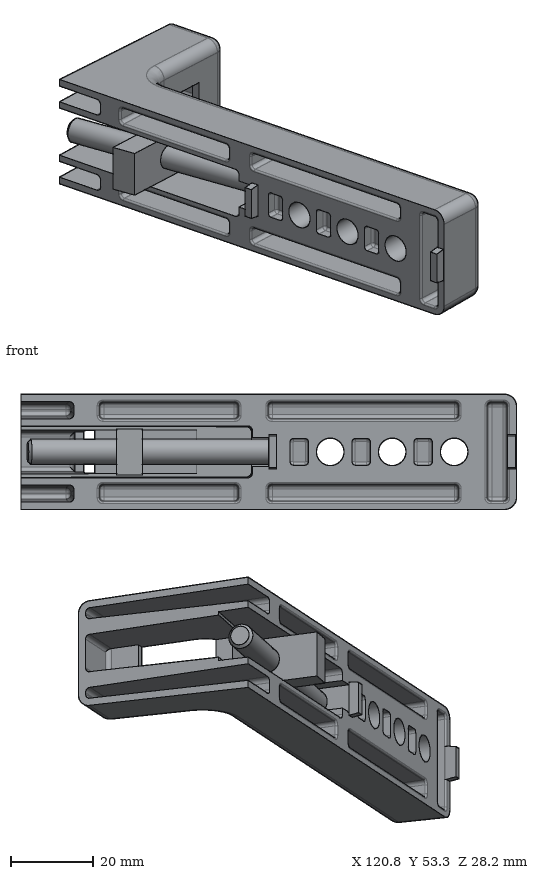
import cadquery as cq
import math

LENGTH = 120.8
WIDTH = 28.2
LEG_LENGTH = 16.0
LEG_HEIGHT = 45.3
ARM_HEIGHT = 15.3
DRAFT = 1
OUTER_FILLET = 3.0
INNER_CORNER_FILLET = 6
POCKET_FILLET = 1.0
MOUTH_FILLET = 0.5
TOP_WALL = 1.9
ARM_POCKET_DEPTH = ARM_HEIGHT - TOP_WALL
LEG_POCKET_DEPTH = LEG_HEIGHT - TOP_WALL

SIDE_SLOT_Z = 10.0
SIDE_SLOT_WIDTH = 5.2
SIDE_SLOT_SPANS = [(18.6, 53.7), (59.7, 107.3)]
END_SLOT_SPAN = (113.1, 119.1)
END_SLOT_WIDTH = 25.3

LEG_GROOVE_END = 12.9
LEG_GROOVE_Z = 10.2
LEG_GROOVE_WIDTH = 4.2
LEG_GROOVE_FILLET = 1.2

HOLE_PITCH = 15.1
HOLE_COUNT = 3
FIRST_HOLE_X = 75.4
HOLE_DIAMETER = 6.6
SMALL_POCKET_LENGTH = 4.5
SMALL_POCKET_WIDTH = 6.5
SMALL_POCKET_DEPTH = 3.1
SMALL_POCKET_CORNER = 0.8
SMALL_POCKET_FILLET = 0.7

CAVITY_END = 13.8
CAVITY_WIDTH = 11.0
CAVITY_FILLET = 1.1
WINDOW_END = 18.2
WINDOW_HEIGHT = 35.2
RECESS_END = 43.5
RECESS_DEPTH = 12.2

SLOPE = 5.8
TROUGH_START_DEPTH = 7.9
TROUGH_END = 56.4
TROUGH_WIDTH = 12.7
TROUGH_CORNER_FILLET = 1.2
BOLT_SLOT_WIDTH = 7.0
BOLT_SLOT_END = 60.3
BOLT_SLOT_DEPTH = 12.0
BOLT_DIAMETER = 6.2
BOLT_CHAMFER = 0.7
BOLT_START_X = 1.7
BOLT_AXIS_AT_ORIGIN = 2.8

JAW_START = 23.3
JAW_END = 29.6
JAW_WIDTH = 11.2
JAW_REACH = 8.0

STOP_THICKNESS = 1.9
STOP_HEIGHT = 2.5
STOP_BASE_WIDTH = 8.5
STOP_TIP_WIDTH = 7.7
SLOT_STOP_START = 60.4
END_STOP_START = 118.7

slope_rise = math.tan(math.radians(SLOPE))


def trough_depth(x):
    """Height of the sloped trough floor at position x."""
    return TROUGH_START_DEPTH + slope_rise * x


def bolt_axis_height(x):
    """Height of the bolt axis at position x."""
    return BOLT_AXIS_AT_ORIGIN + slope_rise * x


def face_plane():
    """Sketch plane on the open face, facing +Y."""
    return cq.Workplane(cq.Plane(origin=(0, 0, 0), xDir=(1, 0, 0), normal=(0, 1, 0)))


def drafted_block(x_start, x_end, width, height, z=0):
    """Block standing on the open face that narrows upwards by the draft angle."""
    middle = (x_start + x_end) / 2
    sketch = face_plane().center(middle, -z).rect(x_end - x_start, width)
    return sketch.extrude(height, taper=DRAFT)


def pocket(x_start, x_end, width, depth, z=0, corner=POCKET_FILLET, floor=POCKET_FILLET):
    """Cutter for a drafted pocket with rounded corners and a rounded floor edge."""
    block = drafted_block(x_start, x_end, width, depth, z)
    return block.edges("not (#Y or <Y)").fillet(corner).faces(">Y").edges().fillet(floor)


def cut_slot(housing, x_start, x_end, width, z=0):
    """Cut a pocket whose mouth, of the given size, is rounded over."""
    rim = MOUTH_FILLET
    cutter = pocket(x_start + rim, x_end - rim, width - 2 * rim, ARM_POCKET_DEPTH, z)
    mouth = cq.selectors.BoxSelector(
        (x_start, -rim, z - width / 2), (x_end, rim, z + width / 2)
    )
    return housing.cut(cutter).edges(mouth).fillet(rim)


def profile_block(points, width):
    """Block of the given XY outline, centred across the width."""
    return cq.Workplane("XY").polyline(points).close().extrude(width / 2, both=True)


def outer_shell():
    """Solid L shape with drafted sides, cut flat at X = 0 and rounded outside."""
    arm = drafted_block(-LENGTH, LENGTH, WIDTH, ARM_HEIGHT)
    leg = drafted_block(-LEG_LENGTH, LEG_LENGTH, WIDTH, LEG_HEIGHT)
    positive_x = cq.Workplane("XY").box(
        2 * LENGTH, 2 * LENGTH, 2 * LENGTH, centered=(False, True, True)
    )
    shell = arm.union(leg).intersect(positive_x)
    inner_corner = cq.selectors.BoxSelector(
        (1.2, ARM_HEIGHT - 1.2, -WIDTH), (LEG_LENGTH + 1.2, ARM_HEIGHT + 1.2, WIDTH)
    )
    shell = shell.edges("|Z").edges(inner_corner).fillet(INNER_CORNER_FILLET)
    return shell.edges("not(<X or <Y)").fillet(OUTER_FILLET)


def leg_groove(z):
    """Cutter for a groove up the leg, open at X = 0."""
    block = drafted_block(-LEG_GROOVE_END, LEG_GROOVE_END, LEG_GROOVE_WIDTH, LEG_POCKET_DEPTH, z)
    return block.edges("not <Y").fillet(LEG_GROOVE_FILLET)


def through_hole(x):
    """Cutter for a round hole through the arm."""
    return face_plane().center(x, 0).circle(HOLE_DIAMETER / 2).extrude(ARM_HEIGHT)


def small_pocket(x):
    """Cutter for a shallow pocket centred at position x."""
    return pocket(
        x - SMALL_POCKET_LENGTH / 2,
        x + SMALL_POCKET_LENGTH / 2,
        SMALL_POCKET_WIDTH,
        SMALL_POCKET_DEPTH,
        corner=SMALL_POCKET_CORNER,
        floor=SMALL_POCKET_FILLET,
    )


def trough():
    """Cutter for the sloped trough, open at X = 0, with rounded corners at its far end."""
    cutter = drafted_block(-TROUGH_END, TROUGH_END, TROUGH_WIDTH, ARM_HEIGHT)
    under_floor = [
        (0, 0),
        (TROUGH_END, 0),
        (TROUGH_END, trough_depth(TROUGH_END)),
        (0, trough_depth(0)),
    ]
    cutter = cutter.intersect(profile_block(under_floor, WIDTH))
    return cutter.faces(">X").edges("not #Y").fillet(TROUGH_CORNER_FILLET)


def central_cutters():
    """Cutters for the leg cavity, window, arm recess, trough and bolt slot."""
    cavity = drafted_block(-CAVITY_END, CAVITY_END, CAVITY_WIDTH, LEG_POCKET_DEPTH)
    cavity = cavity.faces(">Y").edges().fillet(CAVITY_FILLET)
    window = drafted_block(-WINDOW_END, WINDOW_END, CAVITY_WIDTH, WINDOW_HEIGHT)
    recess = drafted_block(-RECESS_END, RECESS_END, CAVITY_WIDTH, RECESS_DEPTH)
    bolt_slot = face_plane().rect(2 * BOLT_SLOT_END, BOLT_SLOT_WIDTH).extrude(BOLT_SLOT_DEPTH)
    return [cavity, window, recess, trough(), bolt_slot]


def stop_block(x_start):
    """Raised block on the open face, narrowing towards its tip."""
    outline = [
        (-STOP_BASE_WIDTH / 2, 0),
        (-STOP_TIP_WIDTH / 2, -STOP_HEIGHT),
        (STOP_TIP_WIDTH / 2, -STOP_HEIGHT),
        (STOP_BASE_WIDTH / 2, 0),
    ]
    plane = cq.Plane(origin=(x_start, 0, 0), xDir=(0, 0, -1), normal=(1, 0, 0))
    return cq.Workplane(plane).polyline(outline).close().extrude(STOP_THICKNESS)


def end_stop_foot():
    """Filling under the end stop, where it stands over the rounded rim of the end slot."""
    foot = face_plane().center(END_STOP_START + STOP_THICKNESS / 2, 0)
    return foot.rect(STOP_THICKNESS, STOP_BASE_WIDTH).extrude(MOUTH_FILLET)


def make_housing(bolt):
    """L-shaped housing with its pockets, holes and end stop, cleared where the bolt touches it."""
    housing = outer_shell()
    for side in (-1, 1):
        housing = housing.cut(leg_groove(side * LEG_GROOVE_Z))
        for x_start, x_end in SIDE_SLOT_SPANS:
            housing = cut_slot(housing, x_start, x_end, SIDE_SLOT_WIDTH, side * SIDE_SLOT_Z)
    housing = cut_slot(housing, *END_SLOT_SPAN, END_SLOT_WIDTH)
    for index in range(HOLE_COUNT):
        hole_x = FIRST_HOLE_X + index * HOLE_PITCH
        housing = housing.cut(through_hole(hole_x)).cut(small_pocket(hole_x - HOLE_PITCH / 2))
    for cutter in central_cutters():
        housing = housing.cut(cutter)
    end_stop = stop_block(END_STOP_START)
    return housing.union(end_stop).union(end_stop_foot()).cut(bolt)


def make_slot_stop():
    """Loose stop that stands on the open face just beyond the bolt slot."""
    return stop_block(SLOT_STOP_START)


def make_bolt():
    """Round bolt along the sloped trough, chamfered at its free end, flat on the slot's end wall."""
    slope = math.radians(SLOPE)
    axis = cq.Plane(
        origin=(BOLT_START_X, bolt_axis_height(BOLT_START_X), 0),
        xDir=(0, 0, 1),
        normal=(math.cos(slope), math.sin(slope), 0),
    )
    bolt = cq.Workplane(axis).circle(BOLT_DIAMETER / 2).extrude(LENGTH)
    bolt = bolt.faces("<X").chamfer(BOLT_CHAMFER)
    beyond_slot = cq.Workplane("YZ", origin=(BOLT_SLOT_END, 0, 0)).rect(LENGTH, LENGTH).extrude(LENGTH)
    return bolt.cut(beyond_slot)


def make_jaw(bolt):
    """Jaw resting on the trough floor, with the hole that the bolt fills."""
    height = JAW_REACH + slope_rise * JAW_START + trough_depth(0)
    outline = [
        (JAW_START, trough_depth(JAW_START)),
        (JAW_END, trough_depth(JAW_END)),
        (JAW_END, trough_depth(JAW_END) - height),
        (JAW_START, trough_depth(JAW_START) - height),
    ]
    return profile_block(outline, JAW_WIDTH).cut(bolt)


bolt = make_bolt()
housing = make_housing(bolt)
jaw = make_jaw(bolt)
slot_stop = make_slot_stop()

result = cq.Compound.makeCompound(
    [*housing.solids().vals(), *bolt.solids().vals(), *jaw.solids().vals(), slot_stop.val()]
)